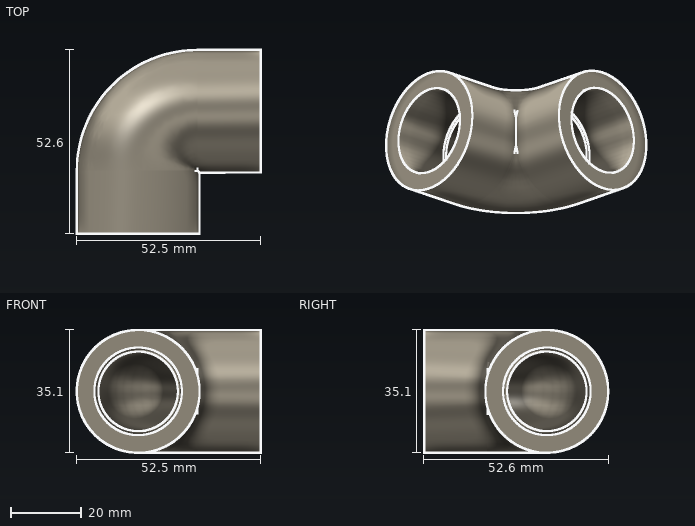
import cadquery as cq
import math

outer_diameter = 35.1
socket_diameter = 25.0
bore_diameter = 22.7
arm_length = 35.0
socket_depth = 18.0

bend_radius = arm_length - socket_depth
outer_radius = outer_diameter / 2
bore_radius = bore_diameter / 2
quarter_turn = 90

front_end = cq.Plane(origin=(0, -arm_length, 0), xDir=(1, 0, 0), normal=(0, -1, 0))
right_end = cq.Plane(origin=(arm_length, 0, 0), xDir=(0, 1, 0), normal=(1, 0, 0))

bend_start = cq.Plane(origin=(0, -bend_radius, 0), xDir=(1, 0, 0), normal=(0, -1, 0))


def sweep_bend(section):
    """Revolve a section a quarter turn about the vertical line through the bend centre."""
    return section.revolve(quarter_turn, (bend_radius, 0), (bend_radius, -1))


def straight_arm(end_plane, diameter):
    """Cylinder running inward from an end face to the start of the bend."""
    return cq.Workplane(end_plane).circle(diameter / 2).extrude(-socket_depth)


def outer_bend():
    """Solid quarter bend; the tube is wider than the bend radius, so its section stops at the pivot line."""
    half_chord = math.sqrt(outer_radius**2 - bend_radius**2)
    section = (
        cq.Workplane(bend_start)
        .moveTo(bend_radius, half_chord)
        .threePointArc((-outer_radius, 0), (bend_radius, -half_chord))
        .close()
    )
    return sweep_bend(section)


def bore_bend():
    """Curved passage joining the two sockets."""
    return sweep_bend(cq.Workplane(bend_start).circle(bore_radius))


def elbow():
    body = outer_bend()
    passage = bore_bend()
    for end_plane in (front_end, right_end):
        body = body.union(straight_arm(end_plane, outer_diameter))
        passage = passage.union(straight_arm(end_plane, socket_diameter))
    return body.cut(passage)


result = elbow()